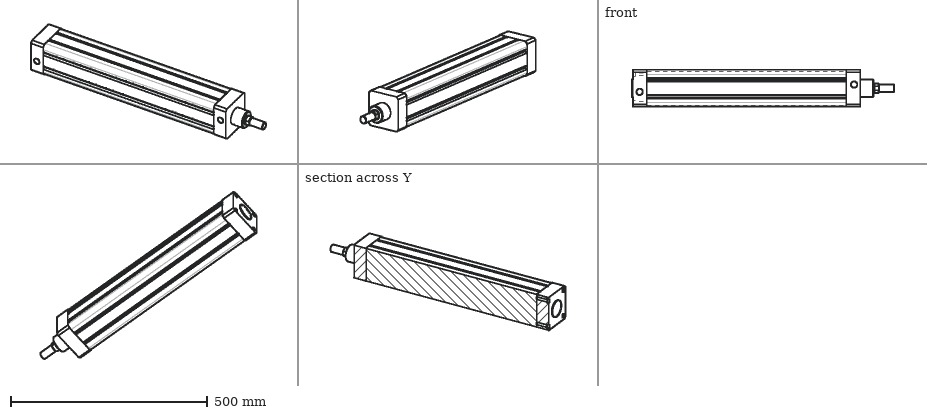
import cadquery as cq

boss_length = 3.0
cap_length = 36.0
tube_length = 507.0
neck_length = 34.0
collar_length = 14.0
overall_length = 668.0

rear_cap_start = boss_length
tube_start = rear_cap_start + cap_length
front_cap_start = tube_start + tube_length
neck_start = front_cap_start + cap_length
collar_start = neck_start + neck_length
rod_start = collar_start + collar_length
rod_length = overall_length - rod_start

side = 94.0
half_side = side / 2
corner_circle_diameter = 125.0
boss_diameter = 45.0
neck_diameter = 45.5
neck_chamfer = 2.0

screw_offset = 36.0
screw_hole_diameter = 6.0
counterbore_diameter = 10.0
counterbore_depth = 6.0

port_diameter = 15.5
port_depth = 16.0
port_chamfer = 1.0
port_height = 9.5
rear_port_inset = 17.5
front_port_inset = 20.0
rear_port_x = rear_cap_start + rear_port_inset
front_port_x = front_cap_start + front_port_inset

tube_corner_radius = 12.0
flat_groove_offset = 18.0
flat_groove_width = 6.0
flat_groove_depth = 3.5
side_groove_offset = 22.0
side_groove_width = 10.0
side_groove_depth = 7.0
side_groove_floor_width = 5.0

rod_diameter = 20.0
rod_chamfer = 1.5
collar_diameter = 25.0
collar_chamfer = 2.0
collar_across_flats = 22.0
rim_diameter = 26.0
rim_length = 3.0


def disc(x, diameter, length):
    """Cylinder along +X that starts at x."""
    return cq.Workplane("YZ", origin=(x, 0, 0)).circle(diameter / 2).extrude(length)


def cap_block(x):
    """Square cap block that starts at x, with its corners cut back to a circle."""
    block = cq.Workplane("YZ", origin=(x, 0, 0)).rect(side, side).extrude(cap_length)
    return block.intersect(disc(x, corner_circle_diameter, cap_length))


def port(x, z):
    """Cutter for an air port with a chamfered mouth in the -Y side."""
    face = cq.Workplane("XZ", origin=(x, -half_side, z))
    bore = face.circle(port_diameter / 2).extrude(-port_depth)
    mouth = face.circle(port_diameter / 2 + port_chamfer).extrude(-port_chamfer, taper=45)
    return bore.union(mouth)


def make_rear_cap():
    cap = cap_block(rear_cap_start).union(disc(0, boss_diameter, boss_length))
    cap = cap.cut(port(rear_port_x, -port_height))
    screw_centres = [(y, z) for y in (-screw_offset, screw_offset) for z in (-screw_offset, screw_offset)]
    face = cq.Workplane("YZ", origin=(rear_cap_start, 0, 0)).pushPoints(screw_centres)
    cap = cap.cut(face.circle(screw_hole_diameter / 2).extrude(cap_length))
    return cap.cut(face.circle(counterbore_diameter / 2).extrude(counterbore_depth))


def make_front_cap():
    neck = disc(neck_start, neck_diameter, neck_length).faces(">X").chamfer(neck_chamfer)
    return cap_block(front_cap_start).union(neck).cut(port(front_port_x, port_height))


def flat_groove(y, z):
    """Cutter for a straight-walled groove, centred on the tube's top or bottom face."""
    return (
        cq.Workplane("YZ", origin=(tube_start, 0, 0))
        .center(y, z)
        .rect(flat_groove_width, 2 * flat_groove_depth)
        .extrude(tube_length)
    )


def side_groove(side_sign, z):
    """Cutter for a groove with sloping walls in the +Y or -Y side of the tube."""
    mouth = side_groove_width / 2
    floor = side_groove_floor_width / 2
    y_face = side_sign * half_side
    y_floor = side_sign * (half_side - side_groove_depth)
    outline = [(y_face, z - mouth), (y_floor, z - floor), (y_floor, z + floor), (y_face, z + mouth)]
    return cq.Workplane("YZ", origin=(tube_start, 0, 0)).polyline(outline).close().extrude(tube_length)


def make_tube():
    tube = cq.Workplane("YZ", origin=(tube_start, 0, 0)).rect(side, side).extrude(tube_length)
    tube = tube.edges("|X").fillet(tube_corner_radius)
    for side_sign in (-1, 1):
        for direction in (-1, 1):
            tube = tube.cut(flat_groove(direction * flat_groove_offset, side_sign * half_side))
            tube = tube.cut(side_groove(side_sign, direction * side_groove_offset))
    return tube


def make_rod():
    rim = disc(collar_start, rim_diameter, rim_length)
    collar = disc(collar_start, collar_diameter, collar_length).faces(">X").chamfer(collar_chamfer)
    flats = (
        cq.Workplane("YZ", origin=(collar_start, 0, 0))
        .rect(collar_across_flats, collar_diameter)
        .extrude(collar_length)
    )
    rod = disc(rod_start, rod_diameter, rod_length).faces(">X").chamfer(rod_chamfer)
    return collar.intersect(flats).union(rim).union(rod)


rear_cap = make_rear_cap()
tube = make_tube()
front_cap = make_front_cap()
rod = make_rod()

result = cq.Compound.makeCompound([rear_cap.val(), tube.val(), front_cap.val(), rod.val()])